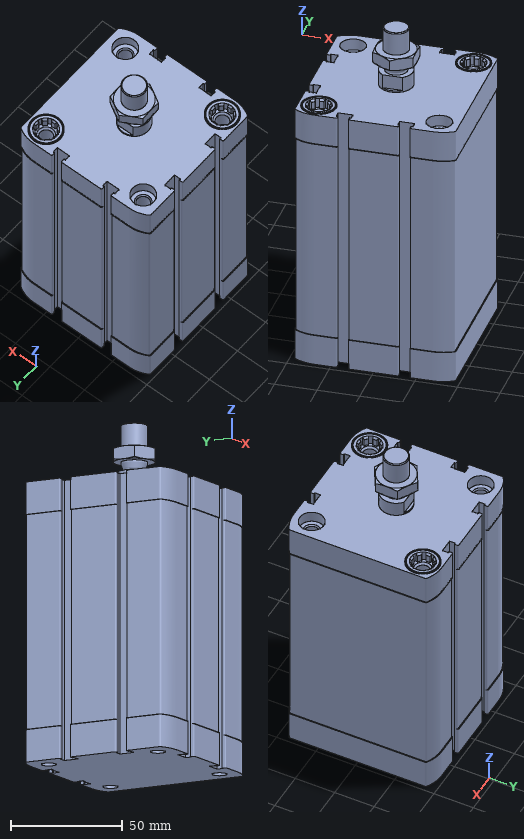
import cadquery as cq
import math

cap_side = 75.5
barrel_inset = 0.5
housing_height = 129.0
cap_height = 15.0
total_height = 158.5
corner_arc_run = 9.8
corner_arc_rise = 3.0
corner_fillet = 1.1

slot_offset = 14.5
slot_mouth_width = 5.4
slot_inner_width = 7.0
slot_lip = 2.0
slot_depth = 4.9
side_slot_depth = 5.4
slot_mouth_fillet = 0.5

hole_offset = 28.2
through_diameter = 6.7
lead_in_diameter = 8.0
counterbore_diameter = 12.0
counterbore_depth = 5.5

head_groove_outer = 16.3
head_groove_inner = 15.5
head_groove_depth = 0.5
head_chamfer = 0.3
socket_mouth = 12.0
socket_bore = 10.1
socket_depth = 4.6
socket_notch_count = 8
socket_notch_width = 1.9
socket_lead_in = 8.5

rod_diameter = 16.0
rod_flat_width = 13.0
rod_flat_start = 0.8
rod_shoulder = 7.5
rod_seat_depth = cap_height
neck_diameter = 10.6
neck_groove_diameter = 10.1
neck_length = 1.5
thread_diameter = 12.0
thread_start = 11.3
thread_chamfer = 0.5

nut_width = 19.0
nut_base = 12.2
nut_height = 6.0
nut_chamfer_diameter = 18.9
nut_chamfer_angle = 20.0


def vertical_edge_at(x, y):
    """Selector for the vertical edge through a point of the outline."""
    reach = 0.08
    low = (x - reach, y - reach, -housing_height)
    high = (x + reach, y + reach, 2 * housing_height)
    return cq.selectors.BoxSelector(low, high, boundingbox=False)


def profile_prism(inset, bottom, height):
    """Length of slotted profile, with its faces inset from those of the caps."""
    half = cap_side / 2 - inset
    flat_end = cap_side / 2 - corner_arc_run
    side_end = cap_side / 2 - corner_arc_rise
    run = half - flat_end
    rise = half - side_end

    radius = (run ** 2 + rise ** 2) / (2 * rise)
    half_angle = math.asin(run / radius) / 2
    mid_x = flat_end + radius * math.sin(half_angle)
    mid_y = half - radius * (1 - math.cos(half_angle))
    prism = (
        cq.Workplane("XY")
        .workplane(offset=bottom)
        .moveTo(-flat_end, half)
        .lineTo(flat_end, half)
        .threePointArc((mid_x, mid_y), (half, side_end))
        .lineTo(half, -side_end)
        .threePointArc((mid_x, -mid_y), (flat_end, -half))
        .lineTo(-flat_end, -half)
        .threePointArc((-mid_x, -mid_y), (-half, -side_end))
        .lineTo(-half, side_end)
        .threePointArc((-mid_x, mid_y), (-flat_end, half))
        .close()
        .extrude(height)
    )
    for x in (-half, half):
        for y in (-side_end, side_end):
            prism = prism.edges("|Z").edges(vertical_edge_at(x, y)).fillet(corner_fillet)

    for angle, depth in ((0, slot_depth), (180, slot_depth), (-90, side_slot_depth)):
        prism = prism.rotate((0, 0, 0), (0, 0, 1), -angle)
        for slot_x in (-slot_offset, slot_offset):
            prism = prism.cut(t_slot(depth).translate((slot_x, 0, 0)))
            for side in (-1, 1):
                mouth_edge = vertical_edge_at(slot_x + side * slot_mouth_width / 2, -half)
                prism = prism.edges("|Z").edges(mouth_edge).fillet(slot_mouth_fillet)
        prism = prism.rotate((0, 0, 0), (0, 0, 1), angle)
    return prism


def t_slot(depth):
    """T-slot cutter open towards -Y, centred on X = 0, with its mouth on the front face."""
    face = -cap_side / 2
    inner_depth = depth - slot_lip
    mouth = cq.Workplane("XY").center(0, face + depth / 2).rect(slot_mouth_width, depth)
    inner = cq.Workplane("XY").center(0, face + depth - inner_depth / 2).rect(slot_inner_width, inner_depth)
    return mouth.extrude(housing_height).union(inner.extrude(housing_height))


def cylinder(diameter, bottom, height):
    return cq.Workplane("XY").workplane(offset=bottom).circle(diameter / 2).extrude(height)


def make_housing():
    barrel_height = housing_height - 2 * cap_height
    body = profile_prism(barrel_inset, cap_height, barrel_height)
    for bottom in (0, housing_height - cap_height):
        body = body.union(profile_prism(0, bottom, cap_height))

    for x in (-hole_offset, hole_offset):
        for y in (-hole_offset, hole_offset):
            cutter = socket_cutter() if x * y > 0 else counterbore_cutter()
            body = body.cut(cutter.translate((x, y, 0)))

    return body.cut(cylinder(rod_diameter, housing_height - rod_seat_depth, rod_seat_depth))


def cone(bottom_diameter, top_diameter, bottom, height):
    solid = cq.Solid.makeCone(bottom_diameter / 2, top_diameter / 2, height, cq.Vector(0, 0, bottom))
    return cq.Workplane(solid)


def stepped_hole(diameter, depth, lead_in):
    """Through hole with a recess at the top and a 45 degree lead-in below the recess."""
    floor = housing_height - depth
    lead_in_depth = (lead_in - through_diameter) / 2
    return (
        cylinder(through_diameter, 0, housing_height)
        .union(cone(through_diameter, lead_in, floor - lead_in_depth, lead_in_depth))
        .union(cylinder(diameter, floor, depth))
    )


def counterbore_cutter():
    return stepped_hole(counterbore_diameter, counterbore_depth, lead_in_diameter)


def socket_cutter():
    """Screw head: a ring groove around a chamfered head with a notched socket."""
    bore = stepped_hole(socket_bore, socket_depth, socket_lead_in)
    mouth_depth = (socket_mouth - socket_bore) / 2
    mouth = cone(socket_bore, socket_mouth, housing_height - mouth_depth, mouth_depth)

    notches = (
        cq.Workplane("XY")
        .workplane(offset=housing_height - socket_depth)
        .polarArray(socket_mouth / 4, 180 / socket_notch_count, 360, socket_notch_count)
        .rect(socket_mouth / 2, socket_notch_width)
        .extrude(socket_depth)
    )

    groove_floor = housing_height - head_groove_depth
    head_top = head_groove_inner - 2 * head_chamfer
    head = cylinder(head_groove_inner, groove_floor, head_groove_depth - head_chamfer).union(
        cone(head_groove_inner, head_top, housing_height - head_chamfer, head_chamfer)
    )
    groove = cylinder(head_groove_outer, groove_floor, head_groove_depth).cut(head)
    return bore.union(mouth).union(notches).union(groove)


def make_rod():
    """Rod with wrench flats, a necked relief and a threaded end, as one turned profile."""
    top = total_height
    shoulder = housing_height + rod_shoulder
    rod_radius = rod_diameter / 2
    neck_radius = neck_diameter / 2
    groove_radius = neck_groove_diameter / 2
    thread_radius = thread_diameter / 2
    rod = (
        cq.Workplane("XZ")
        .moveTo(0, housing_height - rod_seat_depth)
        .lineTo(rod_radius, housing_height - rod_seat_depth)
        .lineTo(rod_radius, shoulder)
        .lineTo(neck_radius, shoulder)
        .threePointArc((groove_radius, shoulder + neck_length / 2), (neck_radius, shoulder + neck_length))
        .lineTo(thread_radius, housing_height + thread_start)
        .lineTo(thread_radius, top - thread_chamfer)
        .lineTo(thread_radius - thread_chamfer, top)
        .lineTo(0, top)
        .close()
        .revolve(360, (0, 0, 0), (0, 1, 0))
    )
    flat_height = rod_shoulder - rod_flat_start
    flats = (
        cq.Workplane("XY")
        .workplane(offset=housing_height + rod_flat_start)
        .rect(2 * rod_diameter, 2 * rod_diameter)
        .rect(2 * rod_diameter, rod_flat_width)
        .extrude(flat_height)
    )
    return rod.cut(flats)


def make_nut():
    """Hexagon nut, corners on +Y and -Y, chamfered at both ends."""
    corner_diameter = nut_width / math.cos(math.radians(30))
    base = housing_height + nut_base
    nut = (
        cq.Workplane("XY")
        .workplane(offset=base)
        .polygon(6, corner_diameter)
        .extrude(nut_height)
        .rotate((0, 0, 0), (0, 0, 1), 30)
    )
    corner_radius = corner_diameter / 2
    end_radius = nut_chamfer_diameter / 2
    drop = (corner_radius - end_radius) * math.tan(math.radians(nut_chamfer_angle))
    envelope = (
        cq.Workplane("XZ")
        .moveTo(0, base)
        .lineTo(end_radius, base)
        .lineTo(corner_radius, base + drop)
        .lineTo(corner_radius, base + nut_height - drop)
        .lineTo(end_radius, base + nut_height)
        .lineTo(0, base + nut_height)
        .close()
        .revolve(360, (0, 0, 0), (0, 1, 0))
    )
    return nut.intersect(envelope).cut(cylinder(thread_diameter, base, nut_height))


housing = make_housing()
rod = make_rod()
nut = make_nut()

result = cq.Compound.makeCompound([housing.val(), rod.val(), nut.val()])